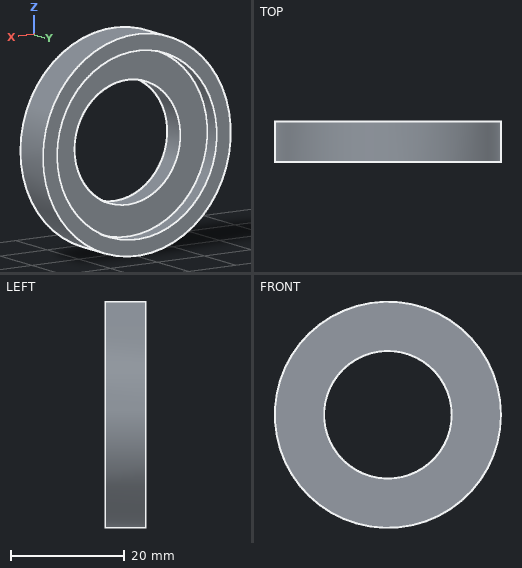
import cadquery as cq

outer_diameter = 40.0
thickness = 7.2
bore_diameter = 22.5

flange_thickness = 4.2
rim_width = 3.0
recess_diameter = outer_diameter - 2 * rim_width
recess_depth = thickness - flange_thickness

front_y = -thickness / 2


def disc(diameter, length, start_y):
    """Cylinder along +Y that starts at start_y."""
    plane = cq.Workplane("XZ", origin=(0, start_y, 0))
    return plane.circle(diameter / 2).extrude(-length)


body = disc(outer_diameter, thickness, front_y)
bore = disc(bore_diameter, thickness, front_y)
recess = disc(recess_diameter, recess_depth, front_y + flange_thickness)

result = body.cut(bore).cut(recess)